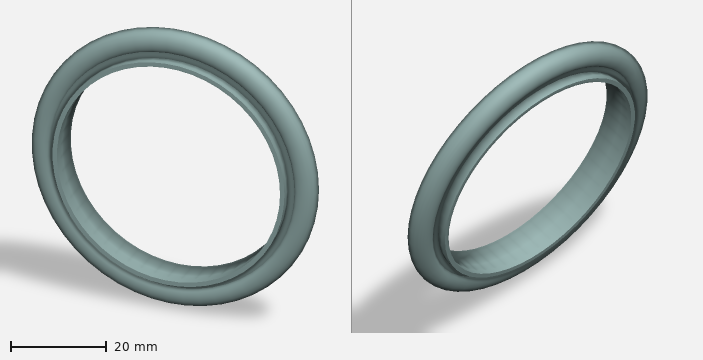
import cadquery as cq
import math

outer_radius = 32.0
cord_diameter = 5.3
sleeve_width = 8.0
sleeve_radius = 26.0
bore_diameter = 50.0
seat_radius = 27.4

cord_radius = cord_diameter / 2
bore_radius = bore_diameter / 2
cord_center = outer_radius - cord_radius
cord_inner_radius = cord_center - cord_radius
half_width = sleeve_width / 2
shoulder_half_width = math.sqrt(cord_radius**2 - (cord_center - seat_radius)**2)


def revolve_about_y(profile):
    """Full turn of a closed XY profile about the Y axis."""
    return profile.revolve(360, (0, 0, 0), (0, 1, 0))


def make_o_ring():
    """Solid round cord swept around the Y axis."""
    return revolve_about_y(cq.Workplane("XY").moveTo(cord_center, 0).circle(cord_radius))


def make_carrier():
    """Sleeve with a raised central band, hollowed on its rim to seat the O-ring."""
    profile = (
        cq.Workplane("XY")
        .moveTo(bore_radius, -half_width)
        .lineTo(sleeve_radius, -half_width)
        .lineTo(sleeve_radius, -shoulder_half_width)
        .lineTo(seat_radius, -shoulder_half_width)
        .threePointArc((cord_inner_radius, 0), (seat_radius, shoulder_half_width))
        .lineTo(sleeve_radius, shoulder_half_width)
        .lineTo(sleeve_radius, half_width)
        .lineTo(bore_radius, half_width)
        .close()
    )
    return revolve_about_y(profile)


o_ring = make_o_ring()
carrier = make_carrier()

result = cq.Compound.makeCompound([o_ring.val(), carrier.val()])